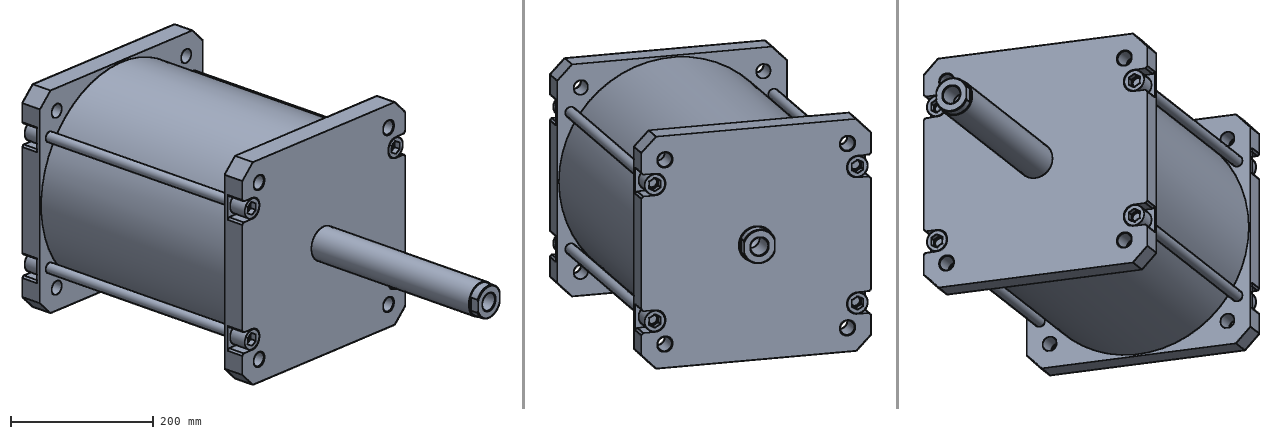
import cadquery as cq
import math

plate_thickness = 34.0
barrel_length = 352.0
rear_stub_length = 15.0
shaft_length = 300.0
front_stub_length = 15.0

front_plate_x = plate_thickness + barrel_length
plates_end_x = front_plate_x + plate_thickness
shoulder_x = plates_end_x + shaft_length

plate_size = 340.0
plate_corner_chamfer = 22.0
mount_hole_diameter = 21.0
mount_hole_mouth_diameter = 23.0
mount_hole_mouth_angle = 90.0
mount_hole_pitch = 270.0

barrel_diameter = 335.0
shaft_diameter = 52.0
stub_diameter = 49.6
stub_flats_width = 45.4
stub_collar_length = 2.0
stub_end_chamfer = 1.0
shaft_bore_diameter = 26.0
bore_mouth_chamfer = 1.0
shaft_bore_depth = 40.0
drill_point_angle = 118.0

rod_diameter = 16.0
rod_pitch_y = 300.0
rod_pitch_z = 200.0
head_diameter = 30.0
socket_across_flats = 17.0
socket_depth = 10.0
socket_core_diameter = 14.0
socket_core_depth = 12.0
slot_width = 32.0
slot_depth = 28.0
slot_mouth_chamfer = 3.0

rod_places = [
    (side_y * rod_pitch_y / 2, side_z * rod_pitch_z / 2)
    for side_y in (-1, 1)
    for side_z in (-1, 1)
]


def rod_along_x(diameter, start_x, length, y=0.0, z=0.0):
    """Round bar parallel to X."""
    return cq.Workplane("YZ", origin=(start_x, y, z)).circle(diameter / 2).extrude(length)


def make_head_slot(y, z):
    """Cutter for one head slot in the outer face of the rear plate."""
    half_width = slot_width / 2
    half_mouth = half_width + slot_mouth_chamfer
    edge = plate_size / 2 - abs(y)
    throat = edge - slot_mouth_chamfer
    slot = (
        cq.Workplane("YZ")
        .moveTo(0, half_width)
        .lineTo(throat, half_width)
        .lineTo(edge, half_mouth)
        .lineTo(edge, -half_mouth)
        .lineTo(throat, -half_width)
        .lineTo(0, -half_width)
        .threePointArc((-half_width, 0), (0, half_width))
        .close()
        .extrude(slot_depth)
    )
    if y < 0:
        slot = slot.mirror("XZ")
    return slot.translate((0, y, z))


def make_rear_plate():
    """Square plate with cut corners, mounting holes, rod holes and head slots."""
    plate = (
        cq.Workplane("YZ")
        .rect(plate_size, plate_size)
        .extrude(plate_thickness)
        .edges("|X")
        .chamfer(plate_corner_chamfer)
    )
    plate = (
        plate.faces("<X")
        .workplane(centerOption="CenterOfBoundBox")
        .rect(mount_hole_pitch, mount_hole_pitch, forConstruction=True)
        .vertices()
        .cskHole(mount_hole_diameter, mount_hole_mouth_diameter, mount_hole_mouth_angle)
    )
    plate = plate.cut(rod_along_x(shaft_diameter, 0, plate_thickness))
    for y, z in rod_places:
        plate = plate.cut(rod_along_x(rod_diameter, 0, plate_thickness, y, z))
        plate = plate.cut(make_head_slot(y, z))
    return plate


def make_front_plate():
    """The rear plate turned round, with its slots facing the other way."""
    return make_rear_plate().mirror("YZ").translate((plates_end_x, 0, 0))


def make_barrel():
    """Round body between the plates, bored for the shaft."""
    barrel = rod_along_x(barrel_diameter, plate_thickness, barrel_length)
    return barrel.cut(rod_along_x(shaft_diameter, plate_thickness, barrel_length))


def make_shaft_stub(shoulder, length):
    """Shaft end pointing to +X, with two flats and a short round collar at the shoulder."""
    stub = rod_along_x(stub_diameter, shoulder, length).faces(">X").chamfer(stub_end_chamfer)
    keep_between_flats = (
        cq.Workplane("XY")
        .box(length, stub_flats_width, stub_diameter)
        .translate((shoulder + stub_collar_length + length / 2, 0, 0))
    )
    collar = rod_along_x(stub_diameter, shoulder, stub_collar_length)
    return stub.intersect(keep_between_flats).union(collar)


def make_end_bore():
    """Cutter for the blind bore with a drill point, going in from X = 0 towards +X."""
    radius = shaft_bore_diameter / 2
    point_length = radius / math.tan(math.radians(drill_point_angle / 2))
    return (
        cq.Workplane("XY")
        .polyline([
            (0, 0),
            (0, radius + bore_mouth_chamfer),
            (bore_mouth_chamfer, radius),
            (shaft_bore_depth, radius),
            (shaft_bore_depth + point_length, 0),
        ])
        .close()
        .revolve(360, (0, 0, 0), (1, 0, 0))
    )


def make_shaft():
    """Shaft through the whole cylinder, with the same stub and bore at both ends."""
    shaft = rod_along_x(shaft_diameter, 0, shoulder_x)
    shaft = shaft.union(make_shaft_stub(shoulder_x, front_stub_length))
    shaft = shaft.union(make_shaft_stub(0, rear_stub_length).mirror("YZ"))
    rear_bore = make_end_bore().translate((-rear_stub_length, 0, 0))
    front_bore = make_end_bore().mirror("YZ").translate((shoulder_x + front_stub_length, 0, 0))
    return shaft.cut(rear_bore).cut(front_bore)


def make_socket():
    """Cutter for a hexagon socket with corners pointing up and down and a deeper round core."""
    corner_diameter = socket_across_flats / math.cos(math.radians(30))
    hexagon = (
        cq.Workplane("YZ")
        .transformed(rotate=(0, 0, 90))
        .polygon(6, corner_diameter)
        .extrude(socket_depth)
    )
    return hexagon.union(rod_along_x(socket_core_diameter, 0, socket_core_depth))


def make_tie_rod(y, z):
    """Rod with a socket head sunk in each plate."""
    socket = make_socket()
    rear_head = rod_along_x(head_diameter, 0, slot_depth).cut(socket)
    front_head = rear_head.mirror("YZ").translate((plates_end_x, 0, 0))
    shank = rod_along_x(rod_diameter, slot_depth, plates_end_x - 2 * slot_depth)
    return shank.union(rear_head).union(front_head).translate((0, y, z))


rear_plate = make_rear_plate()
front_plate = make_front_plate()
barrel = make_barrel()
shaft = make_shaft()
tie_rods = [make_tie_rod(y, z) for y, z in rod_places]

result = cq.Compound.makeCompound([
    rear_plate.val(),
    front_plate.val(),
    barrel.val(),
    shaft.val(),
    *[tie_rod.val() for tie_rod in tie_rods],
])